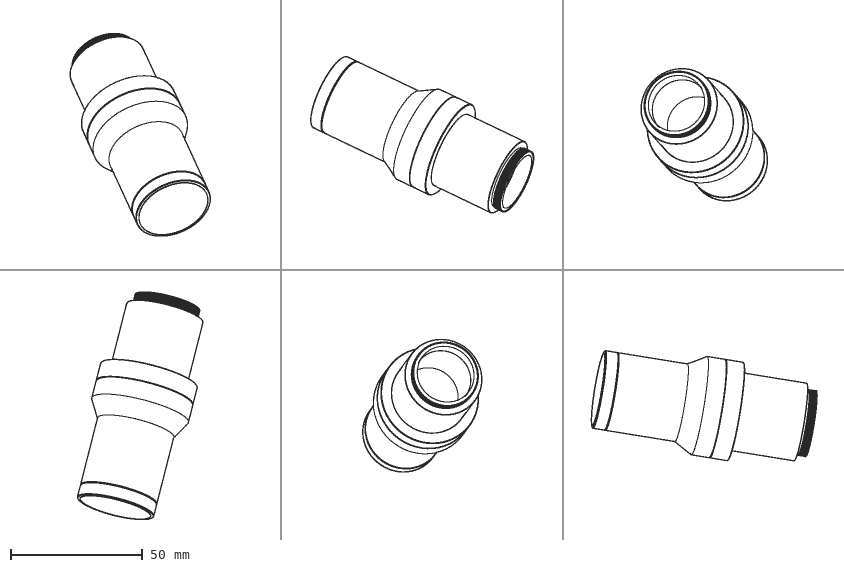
import cadquery as cq

LENGTH = 82.35
SHOULDER_X = 4.0
RING_START_X = 29.15
RING_END_X = 36.3
TAPER_START_X = 43.2
TAPER_END_X = 50.2
CAP_START_X = 77.25

TUBE_DIAMETER = 30.0
RING_DIAMETER = 38.0
BORE_DIAMETER = 22.0
COUNTERBORE_DIAMETER = 22.1
COUNTERBORE_DEPTH = 6.0

THREAD_DIAMETER = 25.45
NECK_DIAMETER = 24.7
THREAD_PITCH = 0.44
THREAD_GROOVES = 7

BARREL_CHAMFER = 0.2
RING_CHAMFER = 0.25
CAP_CHAMFER = 0.25

FACE_HEIGHT = 0.25
FACE_DIAMETER = 27.7

LENS_SURFACE_RADIUS = 26.35


def rod(start_x, end_x, diameter):
    """Solid cylinder along X, centred on the axis."""
    return cq.Workplane("YZ", origin=(start_x, 0, 0)).circle(diameter / 2).extrude(end_x - start_x)


def revolve_about_axis(outline):
    """Close an (x, radius) outline and revolve it around the X axis."""
    return outline.close().revolve(360, (0, 0, 0), (1, 0, 0))


def make_threaded_neck():
    """Neck that carries the thread, still solid, ending at the shoulder."""
    crest = THREAD_DIAMETER / 2
    root = NECK_DIAMETER / 2
    outline = cq.Workplane("XY").lineTo(0, crest)
    for groove in range(THREAD_GROOVES):
        groove_x = groove * THREAD_PITCH
        outline = outline.lineTo(groove_x + THREAD_PITCH / 2, root)
        outline = outline.lineTo(groove_x + THREAD_PITCH, crest)
    thread_end_x = THREAD_GROOVES * THREAD_PITCH
    outline = outline.lineTo(thread_end_x, root).lineTo(SHOULDER_X, root).lineTo(SHOULDER_X, 0)
    return revolve_about_axis(outline)


def make_barrel():
    """Tube with the threaded neck, bored through and ending against the ring."""
    tube = rod(SHOULDER_X, RING_START_X, TUBE_DIAMETER).faces("<X or >X").chamfer(BARREL_CHAMFER)
    bore = rod(0, RING_START_X, BORE_DIAMETER)
    counterbore = rod(0, COUNTERBORE_DEPTH, COUNTERBORE_DIAMETER)
    return tube.union(make_threaded_neck()).cut(bore).cut(counterbore)


def make_ring():
    """Flange ring between barrel and housing; its bore holds the lens."""
    ring = rod(RING_START_X, RING_END_X, RING_DIAMETER).faces("<X or >X").chamfer(RING_CHAMFER)
    return ring.cut(rod(RING_START_X, RING_END_X, BORE_DIAMETER))


def make_lens():
    """Lens filling the ring bore, domed into the barrel and flat against the housing."""
    rim_radius = BORE_DIAMETER / 2
    dome_height = LENS_SURFACE_RADIUS - (LENS_SURFACE_RADIUS**2 - rim_radius**2) ** 0.5
    outline = (
        cq.Workplane("XY")
        .moveTo(RING_END_X, 0)
        .lineTo(RING_END_X, rim_radius)
        .lineTo(RING_START_X, rim_radius)
        .radiusArc((RING_START_X - dome_height, 0), -LENS_SURFACE_RADIUS)
    )
    return revolve_about_axis(outline)


def make_housing():
    """Housing that tapers from the ring down to the tube diameter."""
    large_radius = RING_DIAMETER / 2
    small_radius = TUBE_DIAMETER / 2
    outline = (
        cq.Workplane("XY")
        .moveTo(RING_END_X, 0)
        .lineTo(RING_END_X, large_radius)
        .lineTo(TAPER_START_X, large_radius)
        .lineTo(TAPER_END_X, small_radius)
        .lineTo(CAP_START_X - CAP_CHAMFER, small_radius)
        .lineTo(CAP_START_X, small_radius - CAP_CHAMFER)
        .lineTo(CAP_START_X, 0)
    )
    return revolve_about_axis(outline)


def make_cap():
    """End cap, chamfered on both rims, with a slightly raised face."""
    face_x = LENGTH - FACE_HEIGHT
    body = rod(CAP_START_X, face_x, TUBE_DIAMETER).faces("<X or >X").chamfer(CAP_CHAMFER)
    return body.union(rod(face_x, LENGTH, FACE_DIAMETER))


barrel = make_barrel()
ring = make_ring()
lens = make_lens()
housing = make_housing()
cap = make_cap()

result = cq.Compound.makeCompound([barrel.val(), ring.val(), lens.val(), housing.val(), cap.val()])